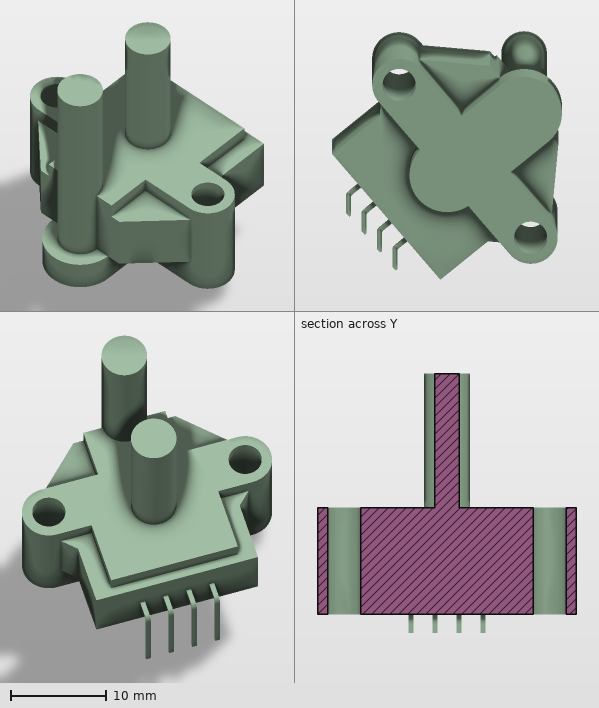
import cadquery as cq


overall_length = 27.3
overall_depth = 25.0
overall_height = 27.3

base_height = 3.33
body_top = 9.55
cap_top = 11.22
port_top = 25.35
lead_bottom = port_top - overall_height

ear_radius = 2.85
ear_x = overall_length / 2 - ear_radius
screw_hole_diameter = 3.5

port_radius = 2.4
boss_radius = 4.0
rear_port_y = 2.4
front_port_y = -8.1

body_back_y = 10.8
body_front_y = front_port_y
body_back_half_width = 8.9
body_front_half_width = 5.63
rear_bevel_y = 4.25

cap_back_y = 9.83
cap_back_width = 13.95
cap_front_width = 9.0

lead_count = 4
lead_pitch = 2.55
lead_width = 0.52
lead_thickness = 0.25
lead_bend_radius = 0.6
lead_back_y = front_port_y - boss_radius + overall_depth
lead_mid_z = (base_height + body_top) / 2
lead_embed = 0.55


def slab(width, y_start, y_end, z_start, z_end):
    """Box centred on X between the given Y and Z limits."""
    return (
        cq.Workplane("XY", origin=(0, (y_start + y_end) / 2, z_start))
        .rect(width, y_end - y_start)
        .extrude(z_end - z_start)
    )


def cylinder(radius, y, z_start, z_end):
    """Upright cylinder on the plane of symmetry."""
    return cq.Workplane("XY", origin=(0, y, z_start)).circle(radius).extrude(z_end - z_start)


def make_bar():
    """Full-height bar with round ends that carry the screw holes."""
    return cq.Workplane("XY").slot2D(overall_length, 2 * ear_radius).extrude(cap_top)


def make_base():
    """Low round-ended rib running under both ports."""
    base = slab(2 * boss_radius, front_port_y, rear_port_y, 0, base_height)
    for y in (front_port_y, rear_port_y):
        base = base.union(cylinder(boss_radius, y, 0, base_height))
    return base


def make_body():
    """Main block with 45 degree sides that run into the edges of the bar."""
    front_bevel_x = body_front_half_width + (-ear_radius - body_front_y)
    rear_bevel_x = body_back_half_width + (rear_bevel_y - ear_radius)
    right_side = [
        (body_front_half_width, body_front_y),
        (front_bevel_x, -ear_radius),
        (rear_bevel_x, ear_radius),
        (body_back_half_width, rear_bevel_y),
        (body_back_half_width, body_back_y),
    ]
    left_side = [(-x, y) for x, y in reversed(right_side)]
    return (
        cq.Workplane("XY", origin=(0, 0, base_height))
        .polyline(right_side + left_side)
        .close()
        .extrude(body_top - base_height)
    )


def make_cap():
    """Raised step, wide behind the bar and narrow in front of it."""
    rear = slab(cap_back_width, 0, cap_back_y, body_top, cap_top)
    front = slab(cap_front_width, body_front_y, 0, body_top, cap_top)
    return rear.union(front)


def make_lead(x):
    """Flat lead leaving the back of the body and bent straight down."""
    top_z = lead_mid_z + lead_thickness / 2
    lower_z = top_z - lead_thickness
    inner_y = lead_back_y - lead_thickness
    bend_y = lead_back_y - lead_bend_radius
    bend_z = top_z - lead_bend_radius
    root_y = body_back_y - lead_embed
    inner_bend_radius = lead_bend_radius - lead_thickness
    return (
        cq.Workplane("YZ", origin=(x, 0, 0))
        .moveTo(root_y, top_z)
        .lineTo(bend_y, top_z)
        .radiusArc((lead_back_y, bend_z), lead_bend_radius)
        .lineTo(lead_back_y, lead_bottom)
        .lineTo(inner_y, lead_bottom)
        .lineTo(inner_y, bend_z)
        .radiusArc((bend_y, lower_z), -inner_bend_radius)
        .lineTo(root_y, lower_z)
        .close()
        .extrude(lead_width / 2, both=True)
    )


result = make_bar().union(make_base()).union(make_body()).union(make_cap())

for port_y in (front_port_y, rear_port_y):
    result = result.union(cylinder(port_radius, port_y, base_height, port_top))

screw_holes = (
    cq.Workplane("XY")
    .pushPoints([(-ear_x, 0), (ear_x, 0)])
    .circle(screw_hole_diameter / 2)
    .extrude(cap_top)
)
result = result.cut(screw_holes)

for i in range(lead_count):
    result = result.union(make_lead((i - (lead_count - 1) / 2) * lead_pitch))